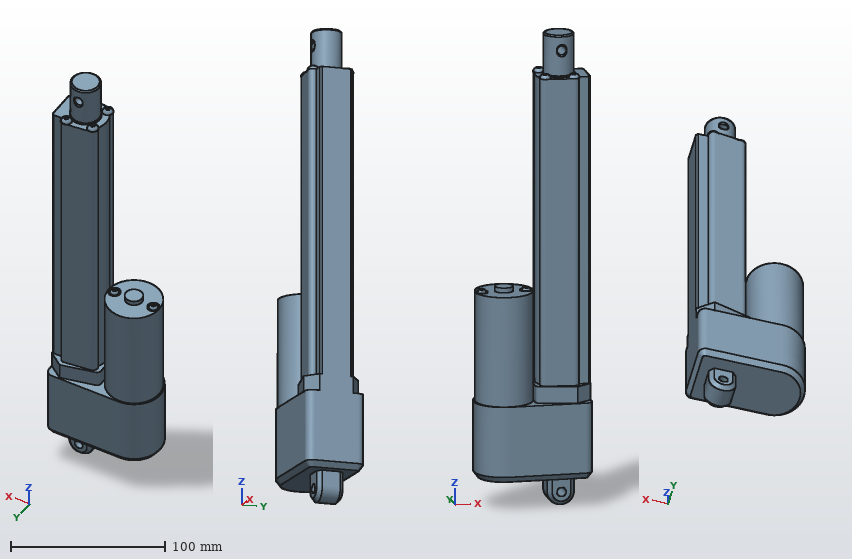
import cadquery as cq
import math

TOTAL_HEIGHT = 314.0

HOUSING_LENGTH = 75.04
HOUSING_WIDTH = 40.0
ROUND_END_FLAT = 0.8
HOUSING_END_RADIUS = (HOUSING_WIDTH - ROUND_END_FLAT) / 2
HOUSING_CORNER_RADIUS = 5.0
HOUSING_CHAMFER_HEIGHT = 4.0
HOUSING_CHAMFER_INSET = 3.0
HOUSING_BOTTOM_Z = 19.5
COVER_TOP_Z = 36.7
HOUSING_TOP_Z = 70.2
TUBE_AXIS_FROM_ROUND_END = 56.3
ROUND_END_X = -TUBE_AXIS_FROM_ROUND_END
SQUARE_END_X = ROUND_END_X + HOUSING_LENGTH

MOTOR_X = ROUND_END_X + HOUSING_WIDTH / 2
MOTOR_DIAMETER = 38.0
MOTOR_BASE_HEIGHT = 2.0
MOTOR_TOP_Z = 143.2
MOTOR_BOSS_DIAMETER = 12.0
MOTOR_BOSS_HEIGHT = 3.2
MOTOR_SCREW_SPACING = 29.4
MOTOR_SCREW_DIAMETER = 6.0
MOTOR_SCREW_HEIGHT = 2.2
MOTOR_SCREW_SINK_DIAMETER = 8.0
MOTOR_SCREW_SINK_DEPTH = 0.5

COLLAR_TOP_Z = 81.2
COLLAR_NARROW_X = -17.7
COLLAR_NARROW_HALF = 13.0
COLLAR_WIDE_X = 8.5
COLLAR_WIDE_HALF = 19.0
COLLAR_END_HALF = 11.5
COLLAR_CORNER_RADIUS = 2.8

CAP_BOTTOM_Z = 281.5
CAP_TOP_Z = 286.0
TUBE_CORE_RADIUS = 15.6
NEAR_RIDGE_RADIUS = 3.6
FAR_RIDGE_RADIUS = 3.4
NEAR_RIDGE = (-11.0, 9.6)
FAR_RIDGE = (7.5, 12.0)
TONGUE_HALF_WIDTH = 11.2
TONGUE_CORNER = 1.2

SCREW_HEAD_DIAMETER = 7.6
SCREW_HEAD_HEIGHT = 3.0
SCREW_SLOT_LENGTH = 2.4
SCREW_SLOT_WIDTH = 0.9
SCREW_SLOT_DEPTH = 1.0

ROD_DIAMETER = 20.0
ROD_CHAMFER = 1.0
PIN_DIAMETER = 6.0
ROD_PIN_SINK_DIAMETER = 8.0
ROD_PIN_Z = 303.8
ROD_RING_DIAMETER = 21.0
ROD_RING_HEIGHT = 1.0

LUG_SIZE = 18.0
LUG_RADIUS = LUG_SIZE / 2
LUG_EDGE_CHAMFER = 2.8


def housing_layer(bottom_z, top_z):
    return (
        cq.Workplane("XY", origin=(ROUND_END_X, -HOUSING_WIDTH / 2, bottom_z))
        .rect(HOUSING_LENGTH, HOUSING_WIDTH, centered=False)
        .extrude(top_z - bottom_z)
        .edges("|Z and <X")
        .fillet(HOUSING_END_RADIUS)
        .edges("|Z and >X")
        .fillet(HOUSING_CORNER_RADIUS)
    )


def make_housing():
    cover = housing_layer(HOUSING_BOTTOM_Z, COVER_TOP_Z)
    cover = cover.faces("<Z").edges().chamfer(HOUSING_CHAMFER_HEIGHT, HOUSING_CHAMFER_INSET)
    gearbox = housing_layer(COVER_TOP_Z, HOUSING_TOP_Z)
    return cover.union(gearbox, clean=False)


def cylinder(x, y, bottom_z, diameter, height):
    return cq.Workplane("XY", origin=(x, y, bottom_z)).circle(diameter / 2).extrude(height)


def make_motor():
    can_bottom_z = HOUSING_TOP_Z + MOTOR_BASE_HEIGHT
    sink_z = MOTOR_TOP_Z - MOTOR_SCREW_SINK_DEPTH
    screw_height = MOTOR_SCREW_HEIGHT + MOTOR_SCREW_SINK_DEPTH
    motor = cylinder(MOTOR_X, 0, can_bottom_z, MOTOR_DIAMETER, MOTOR_TOP_Z - can_bottom_z)
    motor = motor.union(cylinder(MOTOR_X, 0, MOTOR_TOP_Z, MOTOR_BOSS_DIAMETER, MOTOR_BOSS_HEIGHT))
    for side in (-1, 1):
        x = MOTOR_X + side * MOTOR_SCREW_SPACING / 2
        motor = motor.cut(cylinder(x, 0, sink_z, MOTOR_SCREW_SINK_DIAMETER, MOTOR_SCREW_SINK_DEPTH))
        motor = motor.union(domed_screw(x, 0, sink_z, MOTOR_SCREW_DIAMETER, screw_height))
    base = cylinder(MOTOR_X, 0, HOUSING_TOP_Z, MOTOR_DIAMETER, MOTOR_BASE_HEIGHT)
    return motor.union(base, clean=False)


def make_collar():
    return (
        cq.Workplane("XY", origin=(0, 0, HOUSING_TOP_Z))
        .polyline(
            [
                (COLLAR_NARROW_X, -COLLAR_NARROW_HALF),
                (COLLAR_WIDE_X, -COLLAR_WIDE_HALF),
                (SQUARE_END_X, -COLLAR_END_HALF),
                (SQUARE_END_X, COLLAR_END_HALF),
                (COLLAR_WIDE_X, COLLAR_WIDE_HALF),
                (COLLAR_NARROW_X, COLLAR_NARROW_HALF),
            ]
        )
        .close()
        .extrude(COLLAR_TOP_Z - HOUSING_TOP_Z)
        .edges("|Z and <X")
        .fillet(COLLAR_CORNER_RADIUS)
    )


def tube_layer(bottom_z, top_z):
    height = top_z - bottom_z
    near_x, near_y = NEAR_RIDGE
    far_x, far_y = FAR_RIDGE
    spacing = math.hypot(far_x - near_x, far_y - near_y)
    slope = math.atan2(far_y - near_y, far_x - near_x)
    slope -= math.asin((NEAR_RIDGE_RADIUS - FAR_RIDGE_RADIUS) / spacing)
    normal_x = -math.sin(slope)
    normal_y = math.cos(slope)
    wall_x = far_x + FAR_RIDGE_RADIUS
    plane = cq.Workplane("XY", origin=(0, 0, bottom_z))

    layer = (
        plane.moveTo(near_x, near_y)
        .lineTo(near_x + NEAR_RIDGE_RADIUS * normal_x, near_y + NEAR_RIDGE_RADIUS * normal_y)
        .lineTo(far_x + FAR_RIDGE_RADIUS * normal_x, far_y + FAR_RIDGE_RADIUS * normal_y)
        .lineTo(wall_x, far_y)
        .lineTo(wall_x, 0)
        .lineTo(near_x, 0)
        .close()
        .extrude(height)
    )
    for (x, y), radius in ((NEAR_RIDGE, NEAR_RIDGE_RADIUS), (FAR_RIDGE, FAR_RIDGE_RADIUS)):
        layer = layer.union(cylinder(x, y, bottom_z, 2 * radius, height))
    layer = layer.union(layer.mirror("XZ"))

    core_band = plane.rect(-TUBE_CORE_RADIUS, 2 * near_y, centered=(False, True)).extrude(height)
    core = cylinder(0, 0, bottom_z, 2 * TUBE_CORE_RADIUS, height).intersect(core_band)
    tongue = (
        plane.rect(SQUARE_END_X, 2 * TONGUE_HALF_WIDTH, centered=(False, True))
        .extrude(height)
        .edges("|Z and >X")
        .chamfer(TONGUE_CORNER)
    )
    return layer.union(core).union(tongue)


def domed_screw(x, y, seat_z, diameter, height):
    radius = diameter / 2
    dome_radius = (radius**2 + height**2) / (2 * height)
    middle_angle = math.atan2(height, radius)
    middle_x = dome_radius * math.sin(middle_angle)
    middle_z = height - dome_radius * (1 - math.cos(middle_angle))
    head = (
        cq.Workplane("XZ", origin=(x, y, seat_z))
        .lineTo(radius, 0)
        .threePointArc((middle_x, middle_z), (0, height))
        .close()
        .revolve(360, (0, 0), (0, 1))
    )
    recess = (
        cq.Workplane("XY", origin=(x, y, seat_z + height))
        .rect(SCREW_SLOT_LENGTH, SCREW_SLOT_WIDTH)
        .extrude(-SCREW_SLOT_DEPTH)
    )
    return head.cut(recess).cut(recess.rotate((x, y, 0), (x, y, 1), 90))


def make_tube():
    tube = tube_layer(COLLAR_TOP_Z, CAP_BOTTOM_Z).union(tube_layer(CAP_BOTTOM_Z, CAP_TOP_Z), clean=False)
    for x, y in (NEAR_RIDGE, FAR_RIDGE):
        for side in (-1, 1):
            screw = domed_screw(x, side * y, CAP_TOP_Z, SCREW_HEAD_DIAMETER, SCREW_HEAD_HEIGHT)
            tube = tube.union(screw, clean=False)
    return tube


def cross_pin(z, length):
    return cq.Workplane("XZ", origin=(0, length / 2, z)).circle(PIN_DIAMETER / 2).extrude(length)


def make_rod():
    rod = cylinder(0, 0, CAP_TOP_Z, ROD_DIAMETER, TOTAL_HEIGHT - CAP_TOP_Z)
    rod = rod.faces(">Z").chamfer(ROD_CHAMFER)
    rod = rod.cut(cross_pin(ROD_PIN_Z, ROD_DIAMETER))
    rod_radius = ROD_DIAMETER / 2
    pin_radius = PIN_DIAMETER / 2
    sink_radius = ROD_PIN_SINK_DIAMETER / 2
    sink_depth = sink_radius - pin_radius
    for side in (-1, 1):
        sink = cq.Workplane(
            cq.Solid.makeCone(
                sink_radius,
                pin_radius,
                sink_depth,
                cq.Vector(0, side * rod_radius, ROD_PIN_Z),
                cq.Vector(0, -side, 0),
            )
        )
        rod = rod.cut(sink)
    return rod.union(cylinder(0, 0, CAP_TOP_Z, ROD_RING_DIAMETER, ROD_RING_HEIGHT))


def make_lug():
    lug = (
        cq.Workplane("XZ", origin=(0, LUG_SIZE / 2, 0))
        .moveTo(-LUG_RADIUS, HOUSING_BOTTOM_Z)
        .lineTo(-LUG_RADIUS, LUG_RADIUS)
        .threePointArc((0, 0), (LUG_RADIUS, LUG_RADIUS))
        .lineTo(LUG_RADIUS, HOUSING_BOTTOM_Z)
        .close()
        .extrude(LUG_SIZE)
    )
    lug = lug.faces("<Y or >Y").edges("not >Z").chamfer(LUG_EDGE_CHAMFER)
    return lug.cut(cross_pin(LUG_RADIUS, LUG_SIZE))


result = make_housing()
for component in (make_motor(), make_collar(), make_tube(), make_rod(), make_lug()):
    result = result.union(component, clean=False)